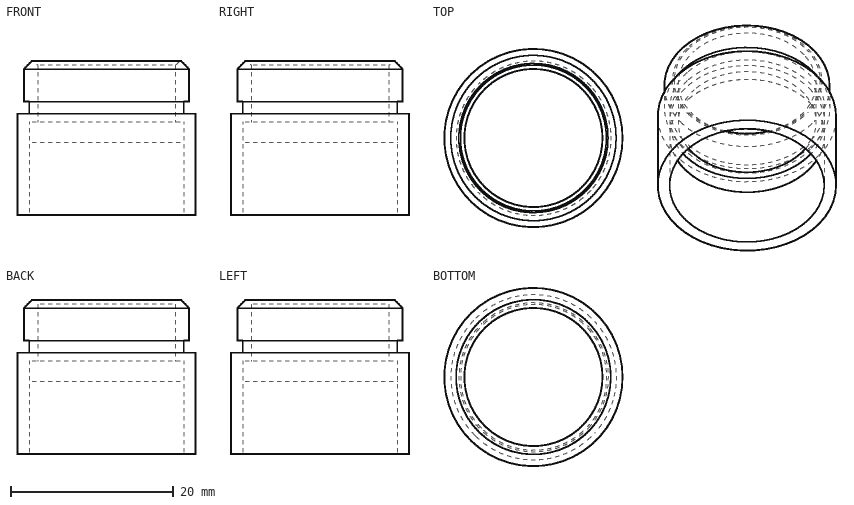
import cadquery as cq

body_diameter = 22.0
body_height = 12.5

groove_diameter = 19.1
groove_width = 1.5
collar_diameter = 20.4
total_height = 19.0
collar_chamfer = 1.0

bore_diameter = 17.0
bore_chamfer = 0.5
socket_diameter = 19.06
socket_depth = 11.5
relief_diameter = 19.09
relief_length = 2.5


def cylinder(diameter, bottom, top):
    """Upright cylinder on the Z axis between two heights."""
    return cq.Workplane("XY").workplane(offset=bottom).circle(diameter / 2).extrude(top - bottom)


def outer_form():
    groove_top = body_height + groove_width
    body = cylinder(body_diameter, 0, body_height)
    groove = cylinder(groove_diameter, body_height, groove_top)
    collar = cylinder(collar_diameter, groove_top, total_height).faces(">Z").chamfer(collar_chamfer)
    return body.union(groove).union(collar)


def inner_form():
    bore = cylinder(bore_diameter, 0, total_height)
    socket = cylinder(socket_diameter, 0, socket_depth)
    relief = cylinder(relief_diameter, socket_depth - relief_length, socket_depth)
    return bore.union(socket).union(relief)


def chamfer_bore_mouth(part):
    mouth = part.faces(">Z").edges(cq.selectors.RadiusNthSelector(0))
    return mouth.chamfer(bore_chamfer)


result = chamfer_bore_mouth(outer_form().cut(inner_form()))